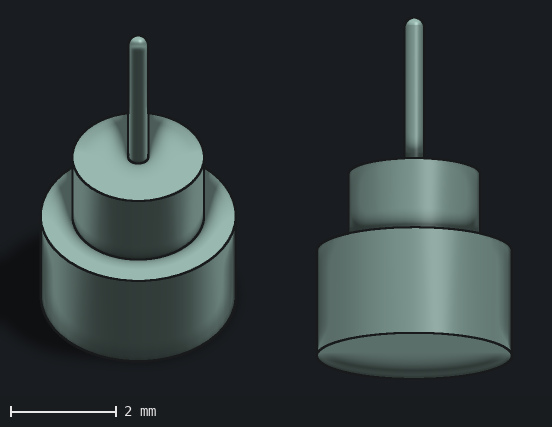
import cadquery as cq

total_height = 6.6

base_diameter = 3.7
base_height = 2.06

collar_diameter = 2.5
collar_height = 1.5

pin_diameter = 0.38
pin_radius = pin_diameter / 2
pin_length = total_height - base_height - collar_height


def base():
    return cq.Workplane("XY").circle(base_diameter / 2).extrude(base_height)


def add_collar(body):
    return body.faces(">Z").workplane().circle(collar_diameter / 2).extrude(collar_height)


def add_pin(body):
    shank_length = pin_length - pin_radius
    shank = body.faces(">Z").workplane().circle(pin_radius).extrude(shank_length)
    tip = cq.Workplane("XY").sphere(pin_radius).translate((0, 0, total_height - pin_radius))
    return shank.union(tip)


result = add_pin(add_collar(base()))